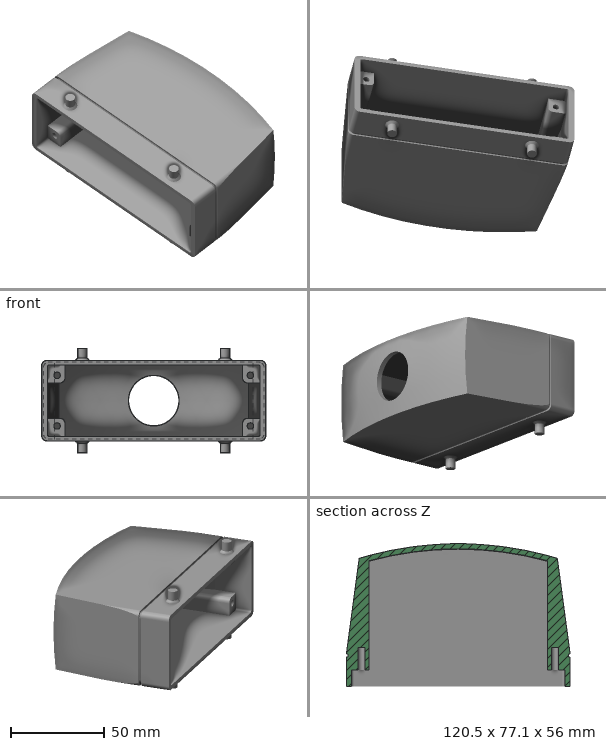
import cadquery as cq
import math

length = 120.5
depth = 77.1
height = 43.4
corner_radius = 3.0
cable_opening_diameter = 27.0

dome_radius = 185.0
dome_center_y = depth - math.sqrt(dome_radius**2 - (cable_opening_diameter / 2) ** 2)
dome_apex_y = dome_center_y + dome_radius

skirt_depth = 16.1
groove_width = 1.5
groove_depth = 1.0
hood_start = skirt_depth + groove_width

dome_edge_half_length = 53.3
dome_edge_y = dome_center_y + math.sqrt(dome_radius**2 - dome_edge_half_length**2)
end_slope = (length / 2 - dome_edge_half_length) / (dome_edge_y - hood_start)

end_wall = 3.1
side_wall = 2.4
back_wall = 3.0
cavity_length = length - 2 * end_wall
cavity_height = height - 2 * side_wall
cavity_corner_radius = 1.2
cavity_taper_start = 21.0

post_length = 9.4
post_height = 9.8
post_front = 8.9
post_edge_radius = 2.7
screw_hole_diameter = 3.5
screw_hole_depth = 12.0
screw_hole_x = 51.9
screw_hole_z = 13.6

pin_diameter = 5.2
pin_tip_span = 56.0
pin_tip_z = pin_tip_span / 2
pin_x = 38.3
pin_y = 6.6
collar_base_diameter = 7.6
collar_height = 1.2


def rounded_bar(size_x, size_z, radius, y_start, y_end):
    """Rectangular bar along Y with rounded long edges."""
    bar = cq.Workplane("XY").box(size_x, y_end - y_start, size_z).edges("|Y").fillet(radius)
    return bar.translate((0, (y_start + y_end) / 2, 0))


def tapered_prism(size_x, taper_start):
    """Prism whose two ends lean inwards beyond taper_start."""
    half = size_x / 2
    back_half = half - end_slope * (dome_apex_y - taper_start)
    return (
        cq.Workplane("XY")
        .moveTo(-half, 0)
        .lineTo(half, 0)
        .lineTo(half, taper_start)
        .lineTo(back_half, dome_apex_y)
        .lineTo(-back_half, dome_apex_y)
        .lineTo(-half, taper_start)
        .close()
        .extrude(height, both=True)
    )


def dome(radius):
    return cq.Workplane("XY").sphere(radius).translate((0, dome_center_y, 0))


def make_shell():
    """Outer skin of the housing, before hollowing."""
    shell = rounded_bar(length, height, corner_radius, 0, dome_apex_y)
    shell = shell.intersect(tapered_prism(length, hood_start)).intersect(dome(dome_radius))
    band = cq.Workplane("XY").box(2 * length, groove_width, 2 * height)
    band = band.translate((0, skirt_depth + groove_width / 2, 0))
    core = rounded_bar(
        length - 2 * groove_depth, height - 2 * groove_depth, corner_radius, 0, dome_apex_y
    )
    return shell.cut(band.cut(core))


def make_cavity():
    cavity = rounded_bar(cavity_length, cavity_height, cavity_corner_radius, 0, dome_apex_y)
    cavity = cavity.intersect(tapered_prism(cavity_length, cavity_taper_start))
    return cavity.intersect(dome(dome_radius - back_wall))


def make_post_blank(side_x, side_z):
    """Square post along Y with its free edge rounded, in one cavity corner."""
    inner_x = side_x * (cavity_length / 2 - post_length)
    inner_z = side_z * (cavity_height / 2 - post_height)
    outer_x = side_x * length / 2
    outer_z = side_z * height / 2
    free_edge = cq.selectors.NearestToPointSelector((inner_x, (post_front + depth) / 2, inner_z))
    return (
        cq.Workplane("XY")
        .box(abs(outer_x - inner_x), depth - post_front, abs(outer_z - inner_z))
        .translate(((inner_x + outer_x) / 2, (post_front + depth) / 2, (inner_z + outer_z) / 2))
        .edges(free_edge)
        .fillet(post_edge_radius)
    )


def cylinder_along_y(diameter, x, z, y_start, y_end):
    axis = cq.Vector(0, 1, 0)
    start = cq.Vector(x, y_start, z)
    return cq.Workplane(cq.Solid.makeCylinder(diameter / 2, y_end - y_start, start, axis))


def make_housing():
    cavity = make_cavity()
    screw_holes = []
    for side_x in (-1, 1):
        for side_z in (-1, 1):
            cavity = cavity.cut(make_post_blank(side_x, side_z))
            screw_holes.append(
                cylinder_along_y(
                    screw_hole_diameter,
                    side_x * screw_hole_x,
                    side_z * screw_hole_z,
                    post_front,
                    post_front + screw_hole_depth,
                )
            )
    housing = make_shell().cut(cavity)
    for hole in screw_holes:
        housing = housing.cut(hole)
    return housing.cut(cylinder_along_y(cable_opening_diameter, 0, 0, depth / 2, dome_apex_y))


def make_collar(side_x, side_z):
    """Conical collar standing on the skirt, narrowing to the pin diameter."""
    base = cq.Vector(side_x * pin_x, pin_y, side_z * height / 2)
    return cq.Solid.makeCone(
        collar_base_diameter / 2, pin_diameter / 2, collar_height, base, cq.Vector(0, 0, side_z)
    )


def make_pin(side_x, side_z):
    """Cylindrical locking pin seated on the narrow face of its collar."""
    seat_z = height / 2 + collar_height
    base = cq.Vector(side_x * pin_x, pin_y, side_z * seat_z)
    return cq.Solid.makeCylinder(
        pin_diameter / 2, pin_tip_z - seat_z, base, cq.Vector(0, 0, side_z)
    )


housing = make_housing()
collars = []
pins = []
for side_x in (-1, 1):
    for side_z in (-1, 1):
        collars.append(make_collar(side_x, side_z))
        pins.append(make_pin(side_x, side_z))

result = cq.Compound.makeCompound([housing.val(), *collars, *pins])